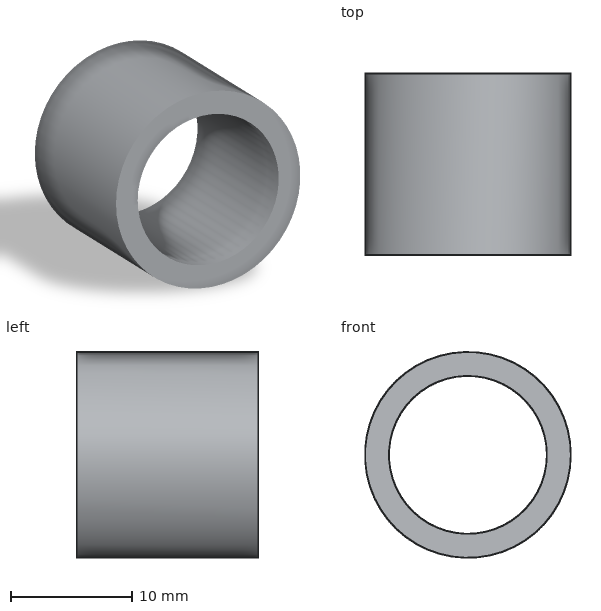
import cadquery as cq

outer_diameter = 17.0
inner_diameter = 13.0
length = 15.0

result = (
    cq.Workplane("XZ")
    .circle(outer_diameter / 2)
    .circle(inner_diameter / 2)
    .extrude(length)
)